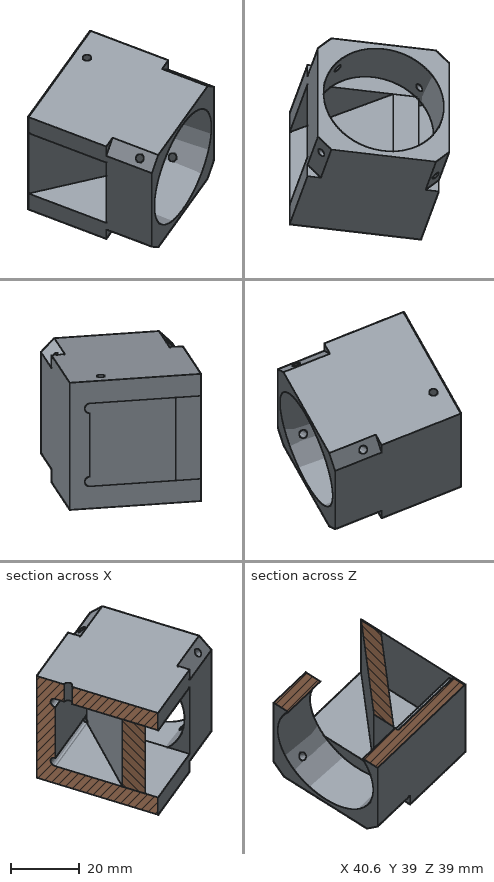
import cadquery as cq
import math

length = 40.6
width = 39.0
cover_thickness = 0.2

pocket_size = 25.45
mirror_depth = 7.55
pocket_depth = pocket_size + mirror_depth
relief_diameter = 3.0

bore_diameter = 35.73
chamfer = 3.98
screw_diameter = 2.45
front_screw_from_end = 5.0
rear_screw_from_end = 10.0
top_screw_x = 4.22
top_screw_y = 9.4

front_y = -width / 2
half = width / 2
wall_x = cover_thickness + pocket_size
wall_thickness = length - wall_x
pocket_back_y = front_y + pocket_depth


def make_block():
    return cq.Workplane("XY").box(
        length - cover_thickness, width, width, centered=(False, True, True)
    ).translate((cover_thickness, 0, 0))


def make_pocket():
    """Rectangular pocket with round reliefs along its two rear edges."""
    pocket = cq.Workplane("XY").box(
        pocket_size, pocket_depth, pocket_size, centered=(False, False, True)
    ).translate((cover_thickness, front_y, 0))
    relief_z = (pocket_size - relief_diameter) / 2
    reliefs = (
        cq.Workplane("YZ", origin=(cover_thickness, 0, 0))
        .pushPoints([(pocket_back_y, -relief_z), (pocket_back_y, relief_z)])
        .circle(relief_diameter / 2)
        .extrude(pocket_size)
    )
    return pocket.union(reliefs)


def make_bore():
    return cq.Workplane("YZ", origin=(wall_x, 0, 0)).circle(bore_diameter / 2).extrude(wall_thickness)


def make_corner_chamfer(side_y, side_z):
    """Triangular bar that bevels one long corner beside the bore."""
    return (
        cq.Workplane("YZ", origin=(wall_x, 0, 0))
        .moveTo(side_y * half, side_z * half)
        .lineTo(side_y * (half - chamfer), side_z * half)
        .lineTo(side_y * half, side_z * (half - chamfer))
        .close()
        .extrude(wall_thickness)
    )


def make_corner_screw_hole(side_y, side_z):
    """Radial hole from the middle of a chamfer into the bore."""
    x = length - (rear_screw_from_end if side_y > 0 else front_screw_from_end)
    reach = math.hypot(half, half)
    hole = cq.Solid.makeCylinder(
        screw_diameter / 2, reach, cq.Vector(x, 0, 0), cq.Vector(0, side_y, side_z)
    )
    return cq.Workplane(obj=hole)


def make_top_screw_hole():
    """Hole from the top face into the space behind the mirror."""
    return cq.Workplane("XY").center(top_screw_x, top_screw_y).circle(screw_diameter / 2).extrude(half)


def make_housing():
    body = make_block().cut(make_pocket()).cut(make_bore()).cut(make_top_screw_hole())
    for side_y in (-1, 1):
        for side_z in (-1, 1):
            body = body.cut(make_corner_chamfer(side_y, side_z))
            body = body.cut(make_corner_screw_hole(side_y, side_z))
    return body


def make_mirror():
    """Slab at 45 degrees, from the front cover corner to the rear of the pocket."""
    return (
        cq.Workplane("XY", origin=(0, 0, -pocket_size / 2))
        .moveTo(cover_thickness, front_y)
        .lineTo(wall_x, front_y + pocket_size)
        .lineTo(wall_x, pocket_back_y)
        .lineTo(cover_thickness, front_y + mirror_depth)
        .close()
        .extrude(pocket_size)
    )


def make_cover():
    return cq.Workplane("XY").box(cover_thickness, width, width, centered=(False, True, True))


housing = make_housing()
mirror = make_mirror()
cover = make_cover()
result = cq.Compound.makeCompound([housing.solids().val(), mirror.val(), cover.val()])